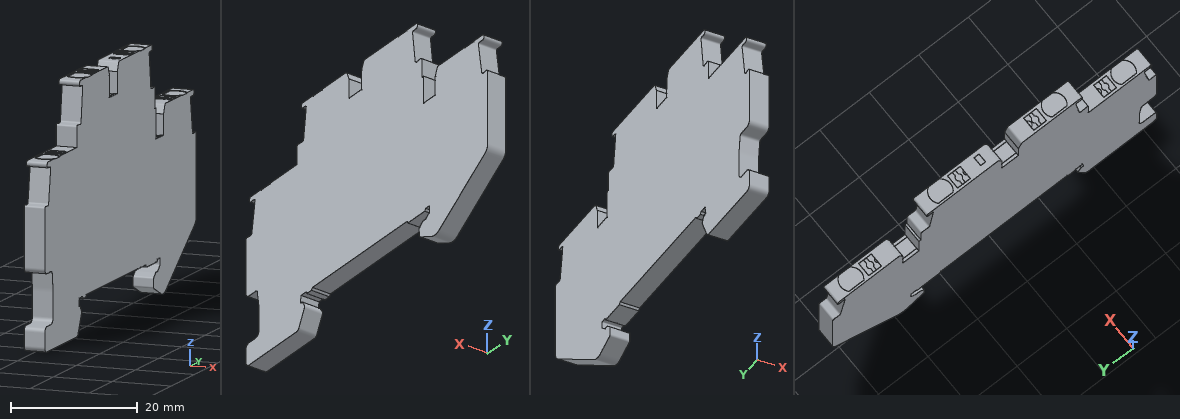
import cadquery as cq
import math

length = 65.4
thickness = 3.5

upper_top = 41.1
lower_top = 30.55
upper_slot_floor = 36.0
lower_slot_floor = 25.6
rail_face = 6.1
rail_pad = 5.7
toe_top = 4.1
recess_top = 12.6

notch_back = 61.9
notch_taper = 0.4
notch_bend = 9.4
notch_bend_radius = 5.2
foot_radius = 0.9

hook_throat = 15.75
hook_tip = 18.5
hook_radius = 0.4
throat_radius = 0.25
pad_slope = 0.25
pads = ((17.0, 21.6), (47.6, 48.85))

lip_thickness = 1.0
lip_radius = 0.45
lip_inset = 1.0
neck_top_inset = 2.55
neck_foot_inset = 1.6
neck_height = 6.15
neck_radius = 0.25
shoulder_rise = 0.2
shoulder_radius = 0.4
neck_foot_radius = 0.4
upper_end_shift = 0.2

lower_slot = (14.2, 17.4)
upper_slot = (34.15, 37.5)
lead_in_width = 0.65
lead_in_height = 1.6
lead_in_radius = 0.45
upper_terminals = (17.8, 51.6)

recess_depth = 0.1
entry_radius = 2.0
entry_inset = 0.4
mark_size = 2.55
mark_bar = 0.6
mark_circle_radius = 0.6
groove_width = 2.4
window_length = 1.0
window_width = 1.65
window_place = 31.25
window_offset = 0.2


def terminal_end(shoulder, outward, top, shift=0.0):
    """Corners from the shoulder up to the lip; outward is -1 at a +Y end, +1 at a -Y end."""
    def inset(distance):
        return shoulder - outward * distance

    neck_foot = top - lip_thickness - neck_height
    return [
        (shoulder, neck_foot + shoulder_rise, shoulder_radius),
        (inset(neck_foot_inset + shift), neck_foot, neck_foot_radius),
        (inset(neck_top_inset), top - lip_thickness, neck_radius),
        (inset(lip_inset + shift), top - lip_thickness, lip_radius),
        (inset(lip_inset + shift), top, lip_radius),
    ]


def lead_in(slot_side, outward, top):
    """Sloping corner from the top face down to a slot side; outward points away from the slot."""
    return [
        (slot_side + outward * lead_in_width, top, lead_in_radius),
        (slot_side, top - lead_in_height, 0),
    ]


def rounded_outline(corners):
    """Closed wire in the YZ plane, each corner rounded by its own radius."""
    def unit(start, end):
        size = math.dist(start, end)
        return (end[0] - start[0]) / size, (end[1] - start[1]) / size

    points = [(length / 2 - along, height) for along, height, _ in corners]
    stretches = []
    for i, (_, _, radius) in enumerate(corners):
        corner = points[i]
        if radius == 0:
            stretches.append((corner,))
            continue
        back = unit(corner, points[i - 1])
        ahead = unit(corner, points[(i + 1) % len(points)])
        half_angle = math.acos(back[0] * ahead[0] + back[1] * ahead[1]) / 2
        trim = radius / math.tan(half_angle)
        bisector = unit((0, 0), (back[0] + ahead[0], back[1] + ahead[1]))
        to_arc = radius / math.sin(half_angle) - radius
        stretches.append(tuple(
            (corner[0] + way[0] * reach, corner[1] + way[1] * reach)
            for way, reach in ((back, trim), (bisector, to_arc), (ahead, trim))
        ))

    outline = cq.Workplane("YZ").moveTo(*stretches[0][-1])
    for stretch in stretches[1:] + stretches[:1]:
        outline = outline.lineTo(*stretch[0])
        if len(stretch) > 1:
            outline = outline.threePointArc(*stretch[1:])
    return outline.close()


def body():
    upper_left, upper_right = upper_terminals
    upper_profile = (
        terminal_end(upper_left, -1, upper_top, upper_end_shift)
        + lead_in(upper_slot[0], -1, upper_top)
        + [(upper_slot[0], upper_slot_floor, 0), (upper_slot[1], upper_slot_floor, 0)]
        + lead_in(upper_slot[1], 1, upper_top)[::-1]
        + terminal_end(upper_right, 1, upper_top, upper_end_shift)[::-1]
    )
    lower_left_profile = (
        terminal_end(0, -1, lower_top)
        + lead_in(lower_slot[0], -1, lower_top)
        + [
            (lower_slot[0], lower_slot_floor, 0),
            (lower_slot[1], lower_slot_floor, 0),
            (lower_slot[1], lower_top, 0),
            (upper_left, lower_top, 0),
        ]
    )
    lower_right_profile = [(upper_right, lower_top, 0)] + terminal_end(length, 1, lower_top)[::-1]
    foot = [
        (length, recess_top, foot_radius),
        (notch_back + notch_taper, recess_top, 0.45),
        (notch_back, notch_bend, notch_bend_radius),
        (notch_back, toe_top, foot_radius),
        (length, toe_top, foot_radius),
        (length, 0, foot_radius),
        (51.2, 0, 0.8),
        (49.4, 3.65, 0.65),
        (50.15, 4.8, 0),
        (50.6, 4.8, 0.1),
        (50.4, rail_face, 0),
    ]
    rail_side = []
    for start, end in reversed(pads):
        rail_side += [
            (end + pad_slope, rail_face, 0),
            (end, rail_pad, 0),
            (start, rail_pad, 0),
            (start - pad_slope, rail_face, 0),
        ]
    hook = [
        (hook_throat, rail_face, 0.1),
        (hook_throat, 4.9, throat_radius),
        (16.75, toe_top, throat_radius),
        (17.5, toe_top, hook_radius),
        (hook_tip, 3.35, hook_radius),
        (hook_tip, 1.7, hook_radius),
        (14.1, -0.25, 2.2),
        (0, 9.1, 1.65),
    ]
    outline = lower_left_profile + upper_profile + lower_right_profile + foot + rail_side + hook
    return rounded_outline(outline).extrude(thickness / 2, both=True)


def block(along, top, size_x, size_y, depth=recess_depth, offset_x=0.0):
    """Cutting box sunk to the given depth below a top face."""
    centre = (offset_x, length / 2 - along, top - depth)
    return cq.Workplane("XY").box(size_x, size_y, depth, (True, True, False)).translate(centre)


def disc(along, top, radius, depth=recess_depth):
    """Cutting disc sunk to the given depth below a top face."""
    return cq.Workplane("XY", (0, length / 2 - along, top - depth)).circle(radius).extrude(depth)


def wire_entry(along, top):
    """Round recess with a flat on the -X side, running out through the +X face."""
    span = block(along, top, thickness, 2 * entry_radius, offset_x=entry_inset)
    return disc(along, top, entry_radius).intersect(span)


def screw_mark(along, top, inward, bite):
    """Square recess with a deeper barred circle and a deeper round bite in its inner side."""
    square = block(along, top, mark_size, mark_size)
    bite_place = along + inward * (mark_size / 2 + mark_circle_radius - bite)
    symbol = (
        block(along, top, mark_size, mark_bar, 2 * recess_depth)
        .union(disc(along, top, mark_circle_radius, 2 * recess_depth))
        .union(
            disc(bite_place, top, mark_circle_radius, 2 * recess_depth)
            .intersect(block(along, top, mark_size, mark_size, 2 * recess_depth))
        )
    )
    return square.union(symbol)


def slot_groove(slot, floor):
    start, end = slot
    return block((start + end) / 2, floor, groove_width, end - start)


terminals = [
    (5.1, 8.95, lower_top, 1, 0.25),
    (23.15, 26.9, upper_top, 1, 0.25),
    (46.1, 42.25, upper_top, -1, 0.5),
    (60.1, 56.4, lower_top, -1, 0.4),
]

result = body()
for entry_place, mark_place, top, inward, bite in terminals:
    result = result.cut(wire_entry(entry_place, top))
    result = result.cut(screw_mark(mark_place, top, inward, bite))
result = result.cut(block(window_place, upper_top, window_width, window_length, offset_x=window_offset))
result = result.cut(slot_groove(lower_slot, lower_slot_floor))
result = result.cut(slot_groove(upper_slot, upper_slot_floor))